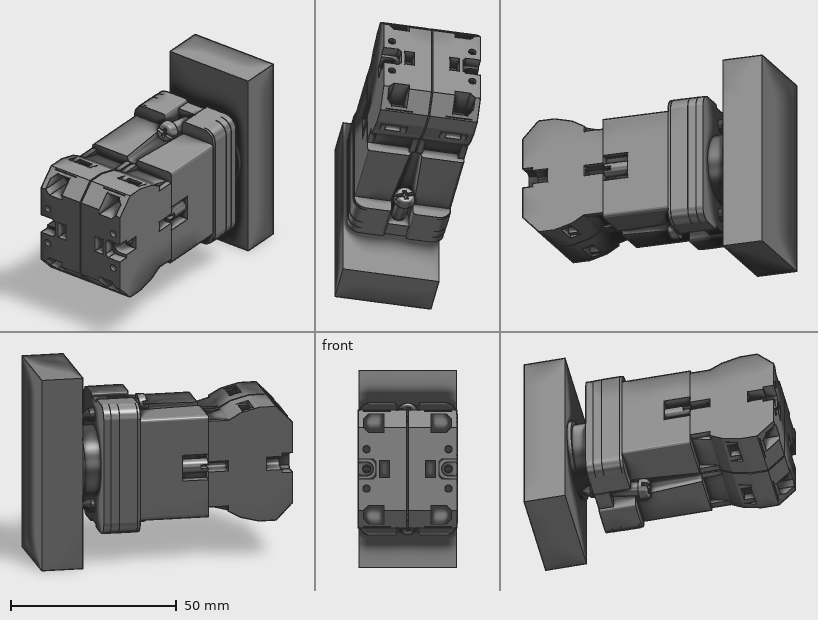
import cadquery as cq


TOTAL_LENGTH = 77.3
BODY_WIDTH = 29.75
HALF_WIDTH = BODY_WIDTH / 2

HEAD_WIDTH = 29.5
HEAD_HEIGHT = 59.5
HEAD_THICKNESS = 12.7
HEAD_BACK_Y = TOTAL_LENGTH - HEAD_THICKNESS
NECK_RADIUS = 10.8

GASKET_RADIUS = 12.05
GASKET_THICKNESS = 1.2

CONTACT_LENGTH = 25.9
FLANGE_REAR_Y = 46.9
FLANGE_FRONT_Y = 58.2
FLANGE_HEIGHT = 40.05
FLANGE_CORNER = 3.9
FLANGE_STEP_Y = (FLANGE_REAR_Y, 47.8, 53.3, 56.0, FLANGE_FRONT_Y)
FLANGE_STEP_WIDTH = (29.6, 29.9, 29.75, 29.6)
HOUSING_HEIGHT = 31.7
HOUSING_CORNER = 1.0
SLOT_HALF_WIDTH = 3.3
SLOT_LIP = 0.9
BRIDGE_TOP = 19.0
BRIDGE_REAR_Y = 53.65
TROUGH_FRONT_RADIUS = 3.55
TROUGH_REAR_RADIUS = 1.85
SIDE_POCKET_HEIGHT = 8.05
SIDE_POCKET_FLOOR_X = 11.7
SIDE_POCKET_LENGTH = 8.05

CLAMP_TILT = 10.0
CLAMP_TURN = 15.0
CLAMP_TIP_Y = 62.85
CLAMP_TIP_Z = 13.45
CLAMP_RADIUS = 2.1
CLAMP_POINT_LENGTH = 3.25
CLAMP_SHANK_END = 18.6
CLAMP_LENGTH = 21.25
CLAMP_HEAD_RADIUS = 3.25
CLAMP_FACE_RADIUS = 2.8
CLAMP_HEAD_ROUND = 0.85
CROSS_LENGTH = 2.9
CROSS_WIDTH = 1.1
CROSS_DEPTH = 1.55

CONTACT_CENTER_X = -0.1

CONTACT_SCREW_X = 12.4
CONTACT_SCREW_RADIUS = 2.1
DRIVE_SLOT_WIDTH = 1.2
DRIVE_SLOT_DEPTH = 2.25
COUNTERBORE_RADIUS = 2.6
COUNTERBORE_DEPTH = 2.9
COUNTERBORE_CHAMFER = 0.4

BLOCK_GAP = 0.5
BLOCK_INNER_X = BLOCK_GAP / 2
NECK_HALF_HEIGHT = 14.2
SHOULDER_Y = 19.8
RIDGE_START_Y = 16.1
RIDGE_START_Z = 16.3
RIDGE_TOP_Y = 10.35
RIDGE_TOP_Z = 17.8
CHAMFER_TOP_Y = 5.1
REAR_HALF_HEIGHT = 12.5
RAMP_DEPTH = 1.7
RAIL_WIDTH = 1.8
LABEL_INNER_X = 5.2
LABEL_OUTER_X = 13.2
LABEL_FRONT_Y = 15.5
LABEL_REAR_Y = 11.75
LABEL_FLOOR_Z = 16.5
LEDGE_Z = 17.3
LEDGE_Y = 4.8
PROBE_INNER_X = 6.95
PROBE_OUTER_X = 11.7
PROBE_FRONT_Y = 15.1
PROBE_DEPTH = 2.3
TERMINAL_INNER_X = 7.0
TERMINAL_TOP_Z = 16.6
TERMINAL_BOTTOM_Z = 11.0
TERMINAL_CHAMFER = 1.55
TERMINAL_DEPTH = 9.3
TEST_HOLE_RADIUS = 1.1
TEST_HOLE_Z = 5.95
TEST_HOLE_DEPTH = 3.9
WINDOW_INNER_X = 5.4
WINDOW_WIDTH = 3.0
WINDOW_HEIGHT = 5.2
WINDOW_DEPTH = 4.6
NOTCH_INNER_X = 9.5
NOTCH_HEIGHT = 6.1
NOTCH_DEPTH = 3.25
NOTCH_CHAMFER = 0.9
ACCESS_RADIUS = 2.1
ACCESS_DEPTH = 8.05
ACCESS_HOLE_RADIUS = 1.15
TIP_CHANNEL_RADIUS = 1.6


def box_between(x, y, z):
    """Box from three (low, high) ranges."""
    return (
        cq.Workplane("XY")
        .box(x[1] - x[0], y[1] - y[0], z[1] - z[0], centered=False)
        .translate((x[0], y[0], z[0]))
    )


def cylinder_along_y(radius, y_start, y_end, x=0, z=0):
    """Cylinder with its axis along Y."""
    solid = cq.Solid.makeCylinder(radius, y_end - y_start, cq.Vector(x, y_start, z), cq.Vector(0, 1, 0))
    return cq.Workplane(solid)


def prism_along_y(points, y_start, y_end):
    """Polygon of (x, z) points extruded along Y."""
    return cq.Workplane("XZ", origin=(0, y_start, 0)).polyline(points).close().extrude(y_start - y_end)


def both_halves(shape):
    """The shape and its mirror image below Z = 0."""
    return shape, shape.mirror("XY")


def on_side(shape, side):
    """A shape modelled at +X, placed on the +X (side = 1) or, turned half round, the -X (side = -1) side."""
    turned = shape if side > 0 else shape.rotate((0, 0, 0), (0, 1, 0), 180)
    return turned.translate((CONTACT_CENTER_X, 0, 0))


def make_head():
    """Rectangular operator head with its round neck."""
    plate = box_between(
        (-HEAD_WIDTH / 2, HEAD_WIDTH / 2), (HEAD_BACK_Y, TOTAL_LENGTH), (-HEAD_HEIGHT / 2, HEAD_HEIGHT / 2)
    )
    return plate.union(cylinder_along_y(NECK_RADIUS, FLANGE_FRONT_Y, HEAD_BACK_Y))


def make_gasket():
    """Flat ring round the neck, against the back of the head."""
    gasket_rear_y = HEAD_BACK_Y - GASKET_THICKNESS
    ring = cylinder_along_y(GASKET_RADIUS, gasket_rear_y, HEAD_BACK_Y)
    return ring.cut(cylinder_along_y(NECK_RADIUS, gasket_rear_y, HEAD_BACK_Y))


def make_clamp_screw(end):
    """Pointed screw with a slot and a short cross slot in its head; end = 1 is the top, -1 the bottom."""
    profile = [
        (0, 0),
        (-CLAMP_POINT_LENGTH, CLAMP_RADIUS),
        (-CLAMP_SHANK_END, CLAMP_RADIUS),
        (-CLAMP_SHANK_END, CLAMP_HEAD_RADIUS),
        (-CLAMP_LENGTH, CLAMP_FACE_RADIUS),
        (-CLAMP_LENGTH, 0),
    ]
    screw = cq.Workplane("YZ").polyline(profile).close().revolve(360, (0, 0, 0), (1, 0, 0))
    screw = screw.faces("<Y").edges().fillet(CLAMP_HEAD_ROUND)
    recess_y = (-CLAMP_LENGTH, -CLAMP_LENGTH + CROSS_DEPTH)
    slot_length = (-CLAMP_HEAD_RADIUS, CLAMP_HEAD_RADIUS)
    cross_length = (-CROSS_LENGTH / 2, CROSS_LENGTH / 2)
    cross_width = (-CROSS_WIDTH / 2, CROSS_WIDTH / 2)
    screw = screw.cut(box_between(slot_length, recess_y, cross_width))
    screw = screw.cut(box_between(cross_width, recess_y, cross_length))
    screw = screw.rotate((0, 0, 0), (0, 1, 0), CLAMP_TURN)
    screw = screw.rotate((0, 0, 0), (1, 0, 0), -CLAMP_TILT).translate((0, CLAMP_TIP_Y, CLAMP_TIP_Z))
    return screw if end > 0 else screw.mirror("XY")


def make_contact_screw(side):
    """Slotted screw lying partly sunk in the floor of the housing's side pocket."""
    end_y = CONTACT_LENGTH + SIDE_POCKET_LENGTH
    screw = cylinder_along_y(CONTACT_SCREW_RADIUS, CONTACT_LENGTH, end_y, CONTACT_SCREW_X)
    slot = box_between(
        (CONTACT_SCREW_X - CONTACT_SCREW_RADIUS, CONTACT_SCREW_X + CONTACT_SCREW_RADIUS),
        (CONTACT_LENGTH, CONTACT_LENGTH + DRIVE_SLOT_DEPTH),
        (-DRIVE_SLOT_WIDTH / 2, DRIVE_SLOT_WIDTH / 2),
    )
    return on_side(screw.cut(slot), side)


def flange_slot():
    """Lipped slot through the flange above the bridge, and the round-bottomed slot behind the bridge."""
    top = FLANGE_HEIGHT / 2
    slot_x = (-SLOT_HALF_WIDTH, SLOT_HALF_WIDTH)
    slot = box_between(slot_x, (FLANGE_REAR_Y, FLANGE_FRONT_Y), (BRIDGE_TOP, top))
    lip = (
        cq.Workplane("XZ", origin=(0, FLANGE_REAR_Y, 0))
        .moveTo(-SLOT_HALF_WIDTH - SLOT_LIP, top)
        .radiusArc((-SLOT_HALF_WIDTH, top - SLOT_LIP), SLOT_LIP)
        .lineTo(SLOT_HALF_WIDTH, top - SLOT_LIP)
        .radiusArc((SLOT_HALF_WIDTH + SLOT_LIP, top), SLOT_LIP)
        .close()
        .extrude(FLANGE_REAR_Y - FLANGE_FRONT_Y)
    )
    rear_slot = box_between(slot_x, (FLANGE_REAR_Y, BRIDGE_REAR_Y), (HOUSING_HEIGHT / 2, top))
    rounded_floor = cylinder_along_y(SLOT_HALF_WIDTH, FLANGE_REAR_Y, BRIDGE_REAR_Y, z=HOUSING_HEIGHT / 2)
    return slot.union(lip).union(rear_slot).union(rounded_floor)


def screwdriver_trough():
    """Conical trough along the top of the housing, leading to a clamp screw."""
    cone = cq.Solid.makeCone(
        TROUGH_REAR_RADIUS,
        TROUGH_FRONT_RADIUS,
        FLANGE_REAR_Y - CONTACT_LENGTH,
        cq.Vector(0, CONTACT_LENGTH, HOUSING_HEIGHT / 2),
        cq.Vector(0, 1, 0),
    )
    return cq.Workplane(cone)


def side_pocket(side):
    """Pocket in the housing side around the contact screw, with a counterbore at its mouth."""
    pocket = box_between(
        (SIDE_POCKET_FLOOR_X, BODY_WIDTH),
        (CONTACT_LENGTH, CONTACT_LENGTH + SIDE_POCKET_LENGTH),
        (-SIDE_POCKET_HEIGHT / 2, SIDE_POCKET_HEIGHT / 2),
    )
    counterbore = cylinder_along_y(
        COUNTERBORE_RADIUS, CONTACT_LENGTH, CONTACT_LENGTH + COUNTERBORE_DEPTH, CONTACT_SCREW_X
    )
    counterbore = counterbore.faces(">Y").chamfer(COUNTERBORE_CHAMFER)
    return on_side(pocket.union(counterbore), side)


def make_housing(sunk_screws):
    """Flanged mounting housing, recessed to fit the screws sunk in it."""
    housing = box_between(
        (-HALF_WIDTH, HALF_WIDTH), (CONTACT_LENGTH, FLANGE_REAR_Y), (-HOUSING_HEIGHT / 2, HOUSING_HEIGHT / 2)
    )
    housing = housing.edges("|Y").fillet(HOUSING_CORNER)
    flange_z = (-FLANGE_HEIGHT / 2, FLANGE_HEIGHT / 2)
    for rear_y, front_y, width in zip(FLANGE_STEP_Y, FLANGE_STEP_Y[1:], FLANGE_STEP_WIDTH):
        band = box_between((-width / 2, width / 2), (rear_y, front_y), flange_z)
        housing = housing.union(band.edges("|Y").fillet(FLANGE_CORNER))
    for cutter in (flange_slot(), screwdriver_trough()):
        for half in both_halves(cutter):
            housing = housing.cut(half)
    for side in (1, -1):
        housing = housing.cut(side_pocket(side))
    for screw in sunk_screws:
        housing = housing.cut(screw)
    return housing.solids()


def block_blank():
    """Contact block outline in YZ, extruded across the block's width."""
    upper = [
        (CONTACT_LENGTH, NECK_HALF_HEIGHT),
        (SHOULDER_Y, NECK_HALF_HEIGHT),
        (RIDGE_START_Y, RIDGE_START_Z),
        (RIDGE_TOP_Y, RIDGE_TOP_Z),
        (CHAMFER_TOP_Y, RIDGE_TOP_Z),
        (0, REAR_HALF_HEIGHT),
    ]
    lower = [(y, -z) for y, z in reversed(upper)]
    outline = cq.Workplane("YZ", origin=(BLOCK_INNER_X, 0, 0)).polyline(upper + lower).close()
    return outline.extrude(HALF_WIDTH - BLOCK_INNER_X)


def latch_ramp():
    """Ramped recess behind the shoulder, deepest against the housing, between two rails."""
    wedge = [
        (SHOULDER_Y, NECK_HALF_HEIGHT),
        (CONTACT_LENGTH, NECK_HALF_HEIGHT),
        (CONTACT_LENGTH, NECK_HALF_HEIGHT - RAMP_DEPTH),
    ]
    inner_x = BLOCK_INNER_X + RAIL_WIDTH
    ramp = cq.Workplane("YZ", origin=(inner_x, 0, 0)).polyline(wedge).close()
    return ramp.extrude(HALF_WIDTH - RAIL_WIDTH - inner_x)


def outer_rail_cut():
    """Step that removes the outer rail on one face of the block."""
    return box_between(
        (HALF_WIDTH - RAIL_WIDTH, HALF_WIDTH),
        (SHOULDER_Y, CONTACT_LENGTH),
        (NECK_HALF_HEIGHT - RAMP_DEPTH, NECK_HALF_HEIGHT),
    )


def label_recess():
    """Flat recess in the sloped face, a deeper probe opening in it, and a thin ledge on the rear bevel."""
    label_x = (LABEL_INNER_X, LABEL_OUTER_X)
    recess = box_between(label_x, (LABEL_REAR_Y, LABEL_FRONT_Y), (LABEL_FLOOR_Z, RIDGE_TOP_Z))
    probe = box_between(
        (PROBE_INNER_X, PROBE_OUTER_X),
        (LABEL_REAR_Y, PROBE_FRONT_Y),
        (LABEL_FLOOR_Z - PROBE_DEPTH, LABEL_FLOOR_Z),
    )
    ledge = box_between(label_x, (0, LEDGE_Y), (LEDGE_Z, RIDGE_TOP_Z))
    return recess.union(probe).union(ledge)


def terminal_opening():
    """Wire opening through the rear bevel, with its two outer corners cut off."""
    outline = [
        (TERMINAL_INNER_X, TERMINAL_BOTTOM_Z),
        (LABEL_OUTER_X - TERMINAL_CHAMFER, TERMINAL_BOTTOM_Z),
        (LABEL_OUTER_X, TERMINAL_BOTTOM_Z + TERMINAL_CHAMFER),
        (LABEL_OUTER_X, TERMINAL_TOP_Z - TERMINAL_CHAMFER),
        (LABEL_OUTER_X - TERMINAL_CHAMFER, TERMINAL_TOP_Z),
        (TERMINAL_INNER_X, TERMINAL_TOP_Z),
    ]
    return prism_along_y(outline, 0, TERMINAL_DEPTH)


def rear_window():
    """Rectangular blind window in the rear face."""
    return box_between(
        (WINDOW_INNER_X, WINDOW_INNER_X + WINDOW_WIDTH),
        (0, WINDOW_DEPTH),
        (-WINDOW_HEIGHT / 2, WINDOW_HEIGHT / 2),
    )


def side_channel(radius, y_start, y_end):
    """Channel open at the block's outer side, with a round end on the contact screw's axis."""
    straight = box_between((CONTACT_SCREW_X, HALF_WIDTH), (y_start, y_end), (-radius, radius))
    return straight.union(cylinder_along_y(radius, y_start, y_end, CONTACT_SCREW_X))


def screw_access():
    """Stepped notch, hole and front channel that lead from the rear face to the contact screw."""
    half = NOTCH_HEIGHT / 2
    notch_outline = [
        (HALF_WIDTH, -half),
        (NOTCH_INNER_X + NOTCH_CHAMFER, -half),
        (NOTCH_INNER_X, NOTCH_CHAMFER - half),
        (NOTCH_INNER_X, half - NOTCH_CHAMFER),
        (NOTCH_INNER_X + NOTCH_CHAMFER, half),
        (HALF_WIDTH, half),
    ]
    access = prism_along_y(notch_outline, 0, NOTCH_DEPTH)
    access = access.union(side_channel(ACCESS_RADIUS, NOTCH_DEPTH, ACCESS_DEPTH))
    access = access.union(cylinder_along_y(ACCESS_HOLE_RADIUS, ACCESS_DEPTH, SHOULDER_Y, CONTACT_SCREW_X))
    return access.union(side_channel(TIP_CHANNEL_RADIUS, SHOULDER_Y, CONTACT_LENGTH))


def make_contact_block(side):
    """Contact block on the +X (side = 1) or -X (side = -1) side."""
    block = block_blank()
    test_hole = cylinder_along_y(TEST_HOLE_RADIUS, 0, TEST_HOLE_DEPTH, CONTACT_SCREW_X, TEST_HOLE_Z)
    for cutter in (latch_ramp(), label_recess(), terminal_opening(), test_hole):
        for half in both_halves(cutter):
            block = block.cut(half)
    for cutter in (outer_rail_cut(), rear_window(), screw_access()):
        block = block.cut(cutter)
    return on_side(block, side)


head = make_head()
gasket = make_gasket()
clamp_screws = [make_clamp_screw(end) for end in (1, -1)]
contact_screws = [make_contact_screw(side) for side in (1, -1)]
contact_blocks = [make_contact_block(side) for side in (1, -1)]
housing = make_housing(clamp_screws + contact_screws)

repeated_bodies = clamp_screws + contact_screws + contact_blocks
result = cq.Compound.makeCompound(
    [head.val(), gasket.val(), housing.val(), *(body.val() for body in repeated_bodies)]
)